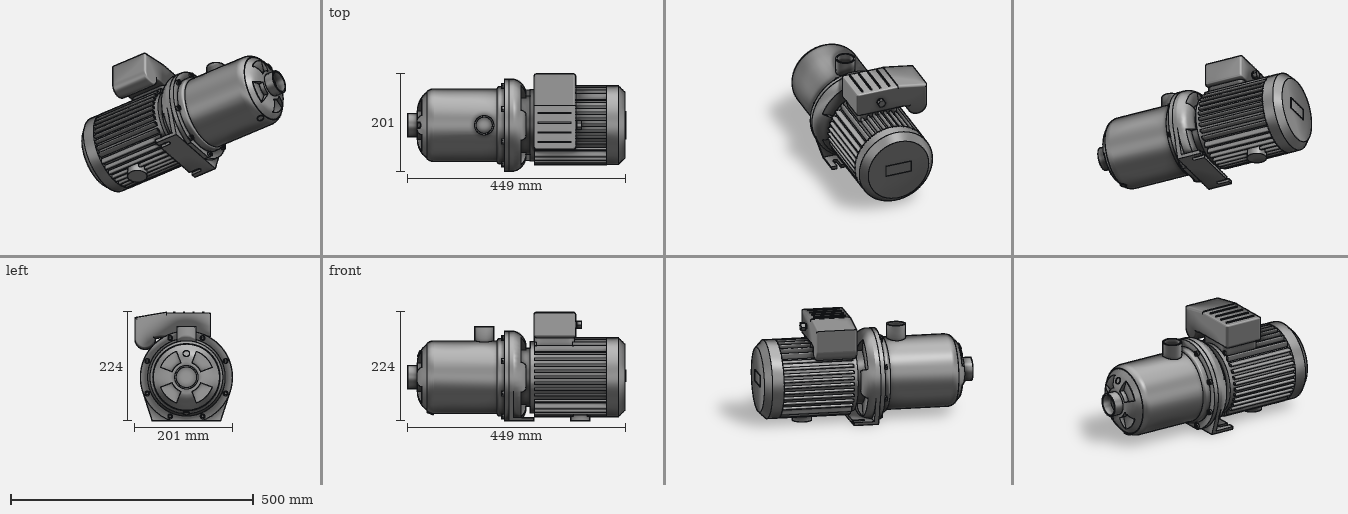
import cadquery as cq
import math


SOLE_Z = -90.0
TOP_Z = 134.0

SUCTION_OD = 48.4
SUCTION_BORE = 42.4
DOME_FACE_X = 19.6
DOME_FACE_R = 28.0
DOME_RIM_X = 39.3
DOME_RIM_R = 68.0
SHOULDER_R = 69.3
SHOULDER_END_X = 54.5
CASING_R = 75.0
DOME_POCKET_FLOOR_X = 29.8
DOME_POCKET_INNER_R = 31.4
DOME_POCKET_OUTER_R = 57.0

COLLAR_START_X = 184.0
COLLAR_FULL_X = 190.0
COLLAR_R = 80.0
FLANGE_X = 199.0
JOINT_X = 208.5
FLANGE_R = 95.0

DISCHARGE_X = 157.5
DISCHARGE_OD = 39.7
DISCHARGE_BORE = 33.7
DISCHARGE_TOP_Z = 104.0

SCREW_COUNT = 8
SCREW_CIRCLE_R = 87.3
SCREW_HEAD_D = 10.0
SCREW_HEAD_H = 5.7
SCREW_SOCKET_AF = 5.0
SCREW_SOCKET_DEPTH = 3.0

PLUG_D = 13.5
PLUG_PROUD = 1.5
PLUG_SEAT_DEPTH = 4.0
FILL_PLUG_R = 48.5
DRAIN_PLUG_X = 46.7

LANTERN_PLATE_END_X = 218.0
LANTERN_FACE_X = 243.3
LANTERN_FACE_R = 68.5
LANTERN_DOME_SAGITTA = 5.6
NECK_R = 60.0
LANTERN_WINDOW_FLOOR_X = 233.0
CUTTER_R = FLANGE_R + 10
FOOT_HALF_WIDTH = 70.6
FOOT_THICKNESS = 7.0
FOOT_END_X = 260.0
FOOT_SLOT_WIDTH = 9.0
FOOT_SLOT_Y = 55.5
FOOT_SLOT_START_X = 235.0

POCKET_ANGLES = (45, 135, 225, 315)
POCKET_SPAN = 48.0

MOTOR_X = 252.0
MOTOR_CORE_R = 74.0
FIN_START_X = 261.0
FIN_END_X = 409.0
FIN_ENVELOPE_R = 81.5
FIN_WIDTH = 5.0
FIN_PITCH = 12.2
FINS_EACH_SIDE = 4

HOOD_CHAMFER = 14.3
HOOD_END_X = 447.8
PLATE_END_X = 449.0
PLATE_WIDTH = 56.0
PLATE_HEIGHT = 24.0
PLATE_Z = 3.0

MOTOR_FOOT_D = 40.0
MOTOR_FOOT_X = 355.2

BOX_START_X = 260.0
BOX_END_X = 346.0
BOX_LENGTH = BOX_END_X - BOX_START_X
BOX_NEAR_Y = -50.0
BOX_STEP_Y = 41.0
BOX_FAR_Y = 106.0
BOX_FLOOR_Z = 81.0
BOX_LID_Z = 132.2
BOX_FAR_TOP_Z = 123.0
BOX_EDGE_R = 5.4
LID_EDGE_R = 3.0
CABLE_BULGE_R = 21.2
CABLE_BULGE_Z = 78.0
CABLE_BULGE_Y = BOX_FAR_Y - CABLE_BULGE_R
FLOOR_BEND_Y = 53.0
FLOOR_LOW_Z = 79.0
LID_RIB_COUNT = 4
LID_RIB_PITCH = 19.9
LID_RIB_MID_Y = -4.8
LID_RIB_LENGTH = 67.0
LID_RIB_MID_X = 302.2
LID_RIB_WIDTH = 2.5
PEDESTAL_END_X = 343.0
PEDESTAL_HALF_WIDTH = 41.0
PEDESTAL_CORNER_R = 10.0

GLAND_Z = 108.0
GLAND_STEM_D = 12.0
GLAND_STEM_END_X = 348.5
GLAND_HEX_AF = 14.5
GLAND_END_X = 358.0


def disc_x(radius, start_x, end_x):
    """Cylinder around the shaft axis."""
    return cq.Workplane("YZ", origin=(start_x, 0, 0)).circle(radius).extrude(end_x - start_x)


def hexagon_x(across_flats, start_x, length, y, z):
    """Hexagonal prism along X with its upper and lower flats level."""
    corner_diameter = across_flats / math.cos(math.pi / 6)
    return cq.Workplane("YZ", origin=(start_x, y, z)).polygon(6, corner_diameter).extrude(length)


def ring_sector(inner_r, outer_r, start_x, end_x, mid_angle):
    """Piece of a ring around the shaft axis, cut off by two radial planes."""
    half = math.radians(POCKET_SPAN / 2)
    mid = math.radians(mid_angle)

    def at(radius, angle):
        return (radius * math.cos(angle), radius * math.sin(angle))

    return (
        cq.Workplane("YZ", origin=(start_x, 0, 0))
        .moveTo(*at(inner_r, mid - half))
        .lineTo(*at(outer_r, mid - half))
        .threePointArc(at(outer_r, mid), at(outer_r, mid + half))
        .lineTo(*at(inner_r, mid + half))
        .threePointArc(at(inner_r, mid), at(inner_r, mid - half))
        .close()
        .extrude(end_x - start_x)
    )


def trim_below_sole(body):
    """Cut off what hangs below the level of the sole."""
    depth = 2 * FLANGE_R
    below = cq.Workplane("XY").box(PLATE_END_X, depth, depth, centered=(False, True, False))
    return body.cut(below.translate((0, 0, SOLE_Z - depth)))


dome_rise = DOME_RIM_R - DOME_FACE_R
dome_depth = DOME_RIM_X - DOME_FACE_X
dome_arc_r = (dome_rise**2 + dome_depth**2) / (2 * dome_depth)
dome_center_x = DOME_FACE_X + dome_arc_r
dome_sweep = math.asin(dome_rise / dome_arc_r)

shoulder_rise = CASING_R - SHOULDER_R
shoulder_run = SHOULDER_END_X - DOME_RIM_X
shoulder_arc_r = (shoulder_rise**2 + shoulder_run**2) / (2 * shoulder_rise)


def dome_point(sweep):
    """Point of the dome arc, with the sweep measured from the front face."""
    return (dome_center_x - dome_arc_r * math.cos(sweep), DOME_FACE_R + dome_arc_r * math.sin(sweep))


def plug(center_x, center_z, tilt):
    """Round plug in the XZ plane; tilt turns its outward axis from -X towards +Z."""
    outward = cq.Vector(-math.cos(tilt), 0, math.sin(tilt))
    seat = cq.Vector(center_x, 0, center_z) - outward * PLUG_SEAT_DEPTH
    length = PLUG_SEAT_DEPTH + PLUG_PROUD
    return cq.Workplane(cq.Plane(origin=seat, normal=outward, xDir=(0, 1, 0))).circle(PLUG_D / 2).extrude(length)


def make_plugs():
    fill_tilt = math.asin((FILL_PLUG_R - DOME_FACE_R) / dome_arc_r)
    fill_x, fill_z = dome_point(fill_tilt)
    drain_lean = math.asin((SHOULDER_END_X - DRAIN_PLUG_X) / shoulder_arc_r)
    drain_z = -(CASING_R - shoulder_arc_r * (1 - math.cos(drain_lean)))
    places = [(fill_x, fill_z, fill_tilt), (DRAIN_PLUG_X, drain_z, drain_lean - math.pi / 2)]
    return [plug(*place) for place in places]


def casing_shell():
    return (
        cq.Workplane("XY")
        .moveTo(JOINT_X, 0)
        .lineTo(JOINT_X, FLANGE_R)
        .lineTo(FLANGE_X, FLANGE_R)
        .lineTo(FLANGE_X, COLLAR_R)
        .lineTo(COLLAR_FULL_X, COLLAR_R)
        .tangentArcPoint((COLLAR_START_X, CASING_R), relative=False)
        .lineTo(SHOULDER_END_X, CASING_R)
        .tangentArcPoint((DOME_RIM_X, SHOULDER_R), relative=False)
        .lineTo(DOME_RIM_X, DOME_RIM_R)
        .threePointArc(dome_point(dome_sweep / 2), dome_point(0))
        .lineTo(DOME_FACE_X, 0)
        .close()
        .revolve(360, (0, 0, 0), (1, 0, 0))
    )


def flange_screw(angle):
    y = SCREW_CIRCLE_R * math.cos(angle)
    z = SCREW_CIRCLE_R * math.sin(angle)
    head_x = FLANGE_X - SCREW_HEAD_H
    head = cq.Workplane("YZ", origin=(head_x, y, z)).circle(SCREW_HEAD_D / 2).extrude(SCREW_HEAD_H)
    return head.cut(hexagon_x(SCREW_SOCKET_AF, head_x, SCREW_SOCKET_DEPTH, y, z))


def make_casing(plugs):
    casing = trim_below_sole(casing_shell())
    for angle in POCKET_ANGLES:
        casing = casing.cut(
            ring_sector(DOME_POCKET_INNER_R, DOME_POCKET_OUTER_R, 0, DOME_POCKET_FLOOR_X, angle)
        )
    suction = disc_x(SUCTION_OD / 2, 0, DOME_FACE_X).cut(disc_x(SUCTION_BORE / 2, 0, DOME_FACE_X))
    discharge = (
        cq.Workplane("XY", origin=(DISCHARGE_X, 0, 0))
        .circle(DISCHARGE_OD / 2)
        .circle(DISCHARGE_BORE / 2)
        .extrude(DISCHARGE_TOP_Z)
    )
    casing = casing.union(suction).union(discharge)
    for number in range(SCREW_COUNT):
        casing = casing.union(flange_screw((number + 0.5) * 2 * math.pi / SCREW_COUNT))
    for item in plugs:
        casing = casing.cut(item)
    return casing


def foot_outline(start_x):
    """Round flange outline whose tangents run down to the corners of the sole."""
    corner_distance = math.hypot(FOOT_HALF_WIDTH, SOLE_Z)
    tangent_angle = math.atan2(SOLE_Z, FOOT_HALF_WIDTH) + math.acos(FLANGE_R / corner_distance)
    tangent_y = FLANGE_R * math.cos(tangent_angle)
    tangent_z = FLANGE_R * math.sin(tangent_angle)
    return (
        cq.Workplane("YZ", origin=(start_x, 0, 0))
        .moveTo(-FOOT_HALF_WIDTH, SOLE_Z)
        .lineTo(FOOT_HALF_WIDTH, SOLE_Z)
        .lineTo(tangent_y, tangent_z)
        .threePointArc((0, FLANGE_R), (-tangent_y, tangent_z))
        .close()
    )


def make_sole():
    """Part of the foot that lies flat, with two mounting slots open at the rear."""
    length = FOOT_END_X - LANTERN_PLATE_END_X
    layer = cq.Workplane("XY").box(length, 2 * FLANGE_R, FOOT_THICKNESS, centered=(False, True, False))
    layer = layer.translate((LANTERN_PLATE_END_X, 0, SOLE_Z))
    sole = foot_outline(LANTERN_PLATE_END_X).extrude(length).intersect(layer)
    for side in (-1, 1):
        slot_length = 2 * (FOOT_END_X - FOOT_SLOT_START_X)
        slot = (
            cq.Workplane("XY", origin=(FOOT_END_X, side * FOOT_SLOT_Y, SOLE_Z))
            .slot2D(slot_length, FOOT_SLOT_WIDTH)
            .extrude(FOOT_THICKNESS)
        )
        sole = sole.cut(slot)
    return sole


def make_lantern():
    dome = (
        cq.Workplane("XY")
        .moveTo(LANTERN_PLATE_END_X, 0)
        .lineTo(LANTERN_PLATE_END_X, FLANGE_R)
        .sagittaArc((LANTERN_FACE_X, LANTERN_FACE_R), LANTERN_DOME_SAGITTA)
        .lineTo(LANTERN_FACE_X, 0)
        .close()
        .revolve(360, (0, 0, 0), (1, 0, 0))
    )
    for angle in POCKET_ANGLES:
        window = ring_sector(NECK_R, CUTTER_R, LANTERN_WINDOW_FLOOR_X, MOTOR_X, angle)
        dome = dome.cut(window)
    plate = foot_outline(JOINT_X).extrude(LANTERN_PLATE_END_X - JOINT_X)
    neck = disc_x(NECK_R, JOINT_X, MOTOR_X)
    return plate.union(make_sole()).union(neck).union(trim_below_sole(dome))


def make_pedestal():
    """Block with rounded corners that stands on the core of the motor."""
    length = PEDESTAL_END_X - FIN_START_X
    block = (
        cq.Workplane("XY", origin=(FIN_START_X + length / 2, 0, 0))
        .rect(length, 2 * PEDESTAL_HALF_WIDTH)
        .extrude(BOX_FLOOR_Z + BOX_EDGE_R)
        .edges("|Z")
        .fillet(PEDESTAL_CORNER_R)
    )
    return block.cut(disc_x(MOTOR_CORE_R, MOTOR_X, FIN_END_X))


def make_lid_half():
    half = cq.Workplane("XY").box(
        BOX_LENGTH, BOX_STEP_Y - BOX_NEAR_Y, BOX_LID_Z - BOX_FLOOR_Z, centered=(False, False, False)
    )
    half = half.translate((BOX_START_X, BOX_NEAR_Y, BOX_FLOOR_Z))
    half = half.edges("|Z and <Y").fillet(BOX_EDGE_R)
    half = half.faces("<Z").edges("not >Y").fillet(BOX_EDGE_R)
    half = half.faces(">Z").edges("not >Y").fillet(LID_EDGE_R)
    for number in range(LID_RIB_COUNT):
        rib_y = LID_RIB_MID_Y + (number - (LID_RIB_COUNT - 1) / 2) * LID_RIB_PITCH
        rib = cq.Workplane("XY").box(
            LID_RIB_LENGTH, LID_RIB_WIDTH, TOP_Z - BOX_LID_Z, centered=(True, True, False)
        )
        half = half.union(rib.translate((LID_RIB_MID_X, rib_y, BOX_LID_Z)))
    return half


def make_cable_half():
    """Half with the sloping roof and the round bulge over the cable entry."""
    bulge_inner_y = CABLE_BULGE_Y - CABLE_BULGE_R
    half = (
        cq.Workplane("YZ", origin=(BOX_START_X, 0, 0))
        .moveTo(BOX_STEP_Y, BOX_FLOOR_Z)
        .lineTo(BOX_STEP_Y, TOP_Z)
        .lineTo(BOX_FAR_Y, BOX_FAR_TOP_Z)
        .lineTo(BOX_FAR_Y, CABLE_BULGE_Z)
        .threePointArc((CABLE_BULGE_Y, CABLE_BULGE_Z - CABLE_BULGE_R), (bulge_inner_y, CABLE_BULGE_Z))
        .lineTo(bulge_inner_y, FLOOR_LOW_Z)
        .lineTo(FLOOR_BEND_Y, BOX_FLOOR_Z)
        .close()
        .extrude(BOX_LENGTH)
    )
    return half.faces("<X or >X").edges("not <Y").fillet(BOX_EDGE_R)


def make_terminal_box():
    return make_lid_half().union(make_cable_half()).union(make_pedestal())


def make_gland():
    stem = (
        cq.Workplane("YZ", origin=(BOX_END_X, 0, GLAND_Z))
        .circle(GLAND_STEM_D / 2)
        .extrude(GLAND_STEM_END_X - BOX_END_X)
    )
    nut = hexagon_x(GLAND_HEX_AF, GLAND_STEM_END_X, GLAND_END_X - GLAND_STEM_END_X, 0, GLAND_Z)
    return stem.union(nut)


def make_motor_foot():
    foot = (
        cq.Workplane("XY", origin=(MOTOR_FOOT_X, 0, SOLE_Z))
        .circle(MOTOR_FOOT_D / 2)
        .extrude(-SOLE_Z)
    )
    return foot.cut(disc_x(MOTOR_CORE_R, MOTOR_X, FIN_END_X))


def make_motor(terminal_box, motor_foot):
    """Core with parallel round-tipped fins; the fins make room for the box and the foot."""
    motor = disc_x(MOTOR_CORE_R, MOTOR_X, FIN_END_X)
    fin_length = FIN_END_X - FIN_START_X
    for number in range(-FINS_EACH_SIDE, FINS_EACH_SIDE + 1):
        offset = number * FIN_PITCH
        span = 2 * math.sqrt(FIN_ENVELOPE_R**2 - offset**2)
        plane = cq.Workplane("YZ", origin=(FIN_START_X, 0, 0))
        side_fins = plane.center(0, offset).slot2D(span, FIN_WIDTH).extrude(fin_length)
        upright_fins = plane.center(offset, 0).slot2D(span, FIN_WIDTH, 90).extrude(fin_length)
        motor = motor.union(side_fins).union(upright_fins)
    return motor.cut(terminal_box).cut(motor_foot)


def make_hood():
    hood = disc_x(FIN_ENVELOPE_R, FIN_END_X, HOOD_END_X).faces(">X").chamfer(HOOD_CHAMFER)
    plate = cq.Workplane("YZ", origin=(HOOD_END_X, 0, PLATE_Z)).rect(PLATE_WIDTH, PLATE_HEIGHT)
    return hood.union(plate.extrude(PLATE_END_X - HOOD_END_X))


plugs = make_plugs()
casing = make_casing(plugs)
lantern = make_lantern()
terminal_box = make_terminal_box()
gland = make_gland()
motor_foot = make_motor_foot()
motor = make_motor(terminal_box, motor_foot)
hood = make_hood()

result = cq.Compound.makeCompound(
    [
        casing.val(),
        *[item.val() for item in plugs],
        lantern.val(),
        motor.val(),
        hood.val(),
        motor_foot.val(),
        terminal_box.val(),
        gland.val(),
    ]
)